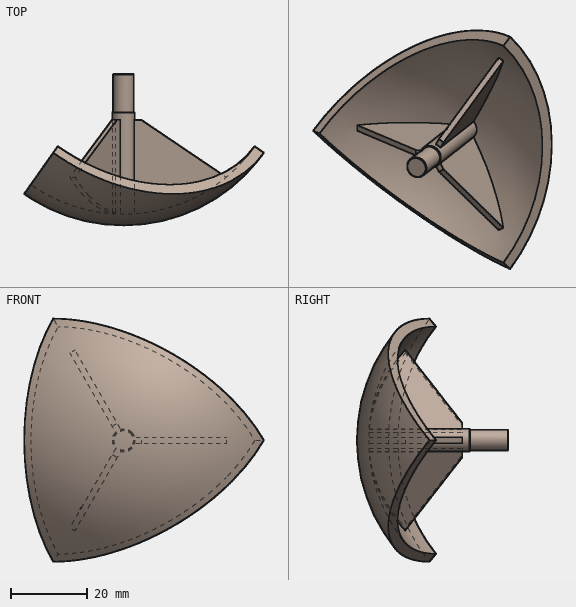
import cadquery as cq
import math

longest_side = 63.65
outer_radius = longest_side / math.sqrt(2)
shell_thickness = 3.0
inner_radius = outer_radius - shell_thickness
mid_shell_radius = inner_radius + shell_thickness / 2

tip_y = -5.35
tip_diameter = 5.5
tip_length = 10.0
end_chamfer = 0.2
shaft_diameter = 6.0
shaft_start_y = tip_y - tip_length

rib_count = 3
rib_thickness = 1.5
rib_top_y = tip_y - 12.0
rib_top_reach = 4.7
rib_foot_reach = 28.65
rib_foot_drop = 16.15


def octant():
    """Corner block of the sphere, with its diagonal along -Y and one edge in the XY plane."""
    right_corner = cq.Vector(math.sqrt(2 / 3), -1 / math.sqrt(3), 0)
    upper_corner = cq.Vector(-1 / math.sqrt(6), -1 / math.sqrt(3), 1 / math.sqrt(2))
    frame = cq.Plane(origin=(0, 0, 0), xDir=upper_corner, normal=right_corner)
    return cq.Workplane(frame).box(outer_radius, outer_radius, outer_radius, centered=False)


def shell():
    """Spherical triangle covering one eighth of a hollow sphere."""
    hollow_sphere = cq.Workplane().sphere(outer_radius).cut(cq.Workplane().sphere(inner_radius))
    return hollow_sphere.intersect(octant())


def rod(diameter, start_y, end_y):
    """Cylinder on the Y axis running from start_y down to end_y."""
    plane = cq.Workplane("XZ", origin=(0, start_y, 0))
    return plane.circle(diameter / 2).extrude(start_y - end_y)


def shaft():
    """Thick shaft rooted in the shell, with a thinner tip; both free ends are chamfered."""
    root_y = -mid_shell_radius
    tip = rod(tip_diameter, tip_y, shaft_start_y).faces(">Y").chamfer(end_chamfer)
    root = rod(shaft_diameter, shaft_start_y, root_y).faces(">Y").chamfer(end_chamfer)
    return tip.union(root)


def rib(angle):
    """Sloping web between the shaft and the shell, trimmed halfway into the shell."""
    web = (
        cq.Workplane("XY")
        .moveTo(0, rib_top_y)
        .lineTo(rib_top_reach, rib_top_y)
        .lineTo(rib_foot_reach, rib_top_y - rib_foot_drop)
        .lineTo(rib_foot_reach, -outer_radius)
        .lineTo(0, -outer_radius)
        .close()
        .extrude(rib_thickness / 2, both=True)
        .rotate((0, 0, 0), (0, 1, 0), angle)
    )
    return web.intersect(cq.Workplane().sphere(mid_shell_radius))


result = shell().union(shaft())
for index in range(rib_count):
    result = result.union(rib(index * 360 / rib_count))